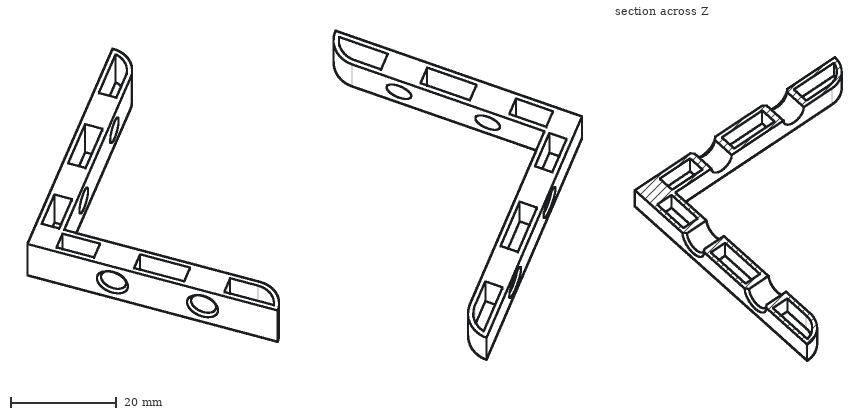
import cadquery as cq

arm_length = 50.0
arm_width = 5.5
height = 9.5
wall = 1.0
floor = 1.0
hole_positions = (17.0, 35.0)
hole_diameter = 5.0
countersink_diameter = 6.2
countersink_depth = (countersink_diameter - hole_diameter) / 2
block_length = 8.0

end_arc_start = arm_length - arm_width
pocket_end_radius = arm_width - wall


def arm_outline(start, end_radius):
    """Prism in the arm direction +X, ending in a quarter circle tangent to the inner side."""
    box = cq.Workplane("XY").box(end_arc_start - start, end_radius, height, centered=False)
    box = box.translate((start, 0, 0))
    quarter = (
        cq.Workplane("XY")
        .moveTo(end_arc_start, 0)
        .lineTo(end_arc_start + end_radius, 0)
        .radiusArc((end_arc_start, end_radius), -end_radius)
        .close()
        .extrude(height)
    )
    return box.union(quarter)


def pockets():
    """Open-topped pockets between the hole blocks, walled on every side."""
    space = arm_outline(arm_width, pocket_end_radius)
    inside = cq.Workplane("XY").box(arm_length, arm_width, height, centered=False)
    space = space.intersect(inside.translate((0, wall, floor)))
    for position in hole_positions:
        block = cq.Workplane("XY").box(block_length, arm_width, height, centered=(True, False, False))
        space = space.cut(block.translate((position, 0, 0)))
    return space


def screw_hole(position):
    """Through hole across the arm, countersunk on the outer face."""
    profile = (
        cq.Workplane("XY")
        .polyline([
            (0, 0),
            (countersink_diameter / 2, 0),
            (hole_diameter / 2, countersink_depth),
            (hole_diameter / 2, arm_width),
            (0, arm_width),
        ])
        .close()
    )
    return profile.revolve(360, (0, 0, 0), (0, 1, 0)).translate((position, 0, height / 2))


def mirrored_across_diagonal(shape):
    """Swap X and Y, carrying a feature of the X arm onto the Y arm."""
    return shape.mirror("YZ").rotate((0, 0, 0), (0, 0, 1), -90)


arm = arm_outline(0, arm_width)
body = arm.union(mirrored_across_diagonal(arm))

cutter = pockets()
for hole_position in hole_positions:
    cutter = cutter.union(screw_hole(hole_position))

result = body.cut(cutter).cut(mirrored_across_diagonal(cutter))